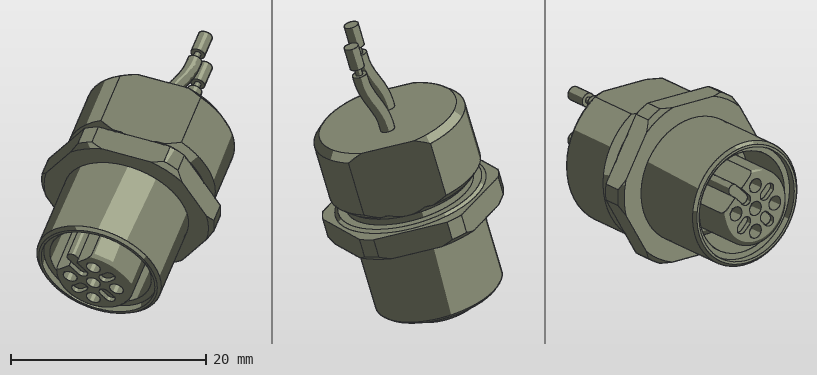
import cadquery as cq
import math


sleeve_radius = 6.75
sleeve_front_y = 1.48
sleeve_chamfer = 0.32
mouth_radius = 12.3 / 2
mouth_depth = 0.8
bore_radius = 11.0 / 2
bore_floor_y = 8.68

nut_front_y = 10.48
nut_back_y = 13.05
nut_across_flats = 17.0
nut_corner_radius = 18.7 / 2
hexagon_turn = 30.0
nut_face_radius = 8.9
nut_chamfer_length = 0.5
washer_back_y = 13.3
washer_radius = 8.05
washer_back_radius = 7.65

housing_radius = 8.05
housing_chamfer = 0.75
housing_front_y = 14.47
housing_back_y = 22.1
neck_cone_radius = 7.0
neck_cone_front_y = 14.0

insert_radius = 4.1
insert_fillet = 0.5
key_flat_distance = 3.12
key_flat_end_y = 7.07
slot_width = 1.15
slot_depth = 0.55
slot_inner_centre = 1.7
slot_outer_centre = 2.5
key_outer_centre = 3.47
key_direction = 135.0
contact_ring_count = 4
contact_spacing = 360 / contact_ring_count
contact_pitch_radius = 2.5
contact_hole_diameter = 1.15
contact_mouth_diameter = 1.5
contact_mouth_depth = 1.6
contact_hole_depth = 3.2

joint_overlap = 0.32

ring_section_radius = (bore_radius - insert_radius) / 2
ring_centre_radius = (bore_radius + insert_radius) / 2

wire_diameter = 1.5
strand_diameter = 0.7
wire_bend_start_y = 22.63
wire_bend_end_y = 28.15
wire_strip_start_y = 28.85
wire_strip_end_y = 29.7
wire_end_y = 32.15
wire_offset_x = 1.2


def cylinder(radius, y_start, y_end, x=0.0, z=0.0):
    """Cylinder along Y between two stations."""
    return cq.Workplane(cq.Solid.makeCylinder(
        radius, y_end - y_start, cq.Vector(x, y_start, z), cq.Vector(0, 1, 0)))


def revolve_profile(points):
    """Turn a closed (radius, y) outline about the Y axis."""
    return cq.Workplane("XY").polyline(points).close().revolve(360, (0, 0, 0), (0, 1, 0))


def polar(radius, angle):
    """X and Z of a point on the connector face."""
    return radius * math.cos(math.radians(angle)), radius * math.sin(math.radians(angle))


def make_sleeve():
    return revolve_profile([
        (0, bore_floor_y),
        (bore_radius, bore_floor_y),
        (bore_radius, sleeve_front_y + mouth_depth),
        (mouth_radius, sleeve_front_y + mouth_depth),
        (mouth_radius, sleeve_front_y),
        (sleeve_radius - sleeve_chamfer, sleeve_front_y),
        (sleeve_radius, sleeve_front_y + sleeve_chamfer),
        (sleeve_radius, housing_front_y),
        (0, housing_front_y),
    ])


def make_nut():
    hexagon = (
        cq.Workplane("XZ", origin=(0, nut_back_y, 0))
        .polygon(6, nut_across_flats, circumscribed=True)
        .extrude(nut_back_y - nut_front_y)
        .rotate((0, 0, 0), (0, 1, 0), hexagon_turn)
    )
    turned_outline = revolve_profile([
        (0, nut_front_y),
        (nut_face_radius, nut_front_y),
        (nut_corner_radius, nut_front_y + nut_chamfer_length),
        (nut_corner_radius, nut_back_y),
        (0, nut_back_y),
    ])
    washer = revolve_profile([
        (0, nut_back_y),
        (washer_radius, nut_back_y),
        (washer_back_radius, washer_back_y),
        (0, washer_back_y),
    ])
    return hexagon.intersect(turned_outline).union(washer)


def make_housing():
    end_radius = housing_radius - housing_chamfer
    turned = revolve_profile([
        (0, neck_cone_front_y),
        (sleeve_radius, neck_cone_front_y),
        (neck_cone_radius, housing_front_y),
        (end_radius, housing_front_y),
        (housing_radius, housing_front_y + housing_chamfer),
        (housing_radius, housing_back_y - housing_chamfer),
        (end_radius, housing_back_y),
        (0, housing_back_y),
    ])
    between_flats = cq.Workplane("XY").box(
        2 * housing_radius, 2 * housing_back_y, 2 * sleeve_radius)
    return turned.intersect(between_flats)


def slot_prism(inner, outer, angle, y_start, y_end):
    """Round-ended bar along Y whose section points outwards at the given angle."""
    x, z = polar((inner + outer) / 2, angle)
    return (
        cq.Workplane("XZ", origin=(0, y_end, 0))
        .center(x, z)
        .slot2D(outer - inner + slot_width, slot_width, angle)
        .extrude(y_end - y_start)
    )


def make_contact_hole(x, z):
    mouth = cylinder(contact_mouth_diameter / 2, 0, contact_mouth_depth, x, z)
    return mouth.union(cylinder(contact_hole_diameter / 2, 0, contact_hole_depth, x, z))


def make_insert():
    insert = cylinder(insert_radius, 0, bore_floor_y + joint_overlap)
    insert = insert.faces("<Y").fillet(insert_fillet)
    flat_cutter = (
        cq.Workplane("XY")
        .box(insert_radius, key_flat_end_y, 2 * insert_radius, centered=(False, False, True))
        .translate((key_flat_distance, 0, 0))
        .rotate((0, 0, 0), (0, 1, 0), -key_direction)
    )
    rib = slot_prism(slot_inner_centre, key_outer_centre, key_direction, slot_depth, bore_floor_y)
    insert = insert.cut(flat_cutter).union(rib)
    for quarter in range(contact_ring_count):
        angle = key_direction + contact_spacing * quarter
        outer = key_outer_centre if quarter == 0 else slot_outer_centre
        insert = insert.cut(slot_prism(slot_inner_centre, outer, angle, 0, slot_depth))
    insert = insert.cut(make_contact_hole(0, 0))
    for quarter in range(contact_ring_count):
        insert = insert.cut(make_contact_hole(*polar(contact_pitch_radius, contact_spacing * quarter)))
    return insert


def make_sealing_ring():
    return cq.Workplane(cq.Solid.makeTorus(
        ring_centre_radius, ring_section_radius,
        cq.Vector(0, bore_floor_y, 0), cq.Vector(0, 1, 0)))


def make_wire(z):
    radius = wire_diameter / 2
    along_y = (0, 1)
    bend_path = (
        cq.Workplane("XY", origin=(0, 0, z))
        .moveTo(0, wire_bend_start_y)
        .spline(
            [(wire_offset_x, wire_bend_end_y)], tangents=[along_y, along_y], includeCurrent=True)
    )
    bend = cq.Workplane("XZ", origin=(0, wire_bend_start_y, z)).circle(radius).sweep(bend_path)
    wire = cylinder(radius, housing_back_y - joint_overlap, wire_bend_start_y, 0, z).union(bend)
    for section_radius, y_start, y_end in [
        (radius, wire_bend_end_y, wire_strip_start_y),
        (strand_diameter / 2, wire_strip_start_y, wire_strip_end_y),
        (radius, wire_strip_end_y, wire_end_y),
    ]:
        wire = wire.union(cylinder(section_radius, y_start, y_end, wire_offset_x, z))
    return wire


result = make_sleeve().union(make_nut()).union(make_housing())
result = result.union(make_sealing_ring()).union(make_insert())
for wire_z in (-contact_pitch_radius, contact_pitch_radius):
    result = result.union(make_wire(wire_z))